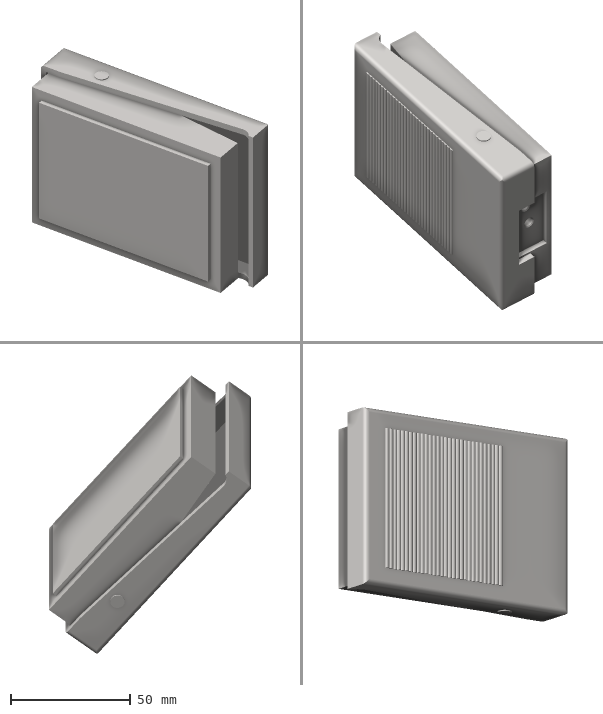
import cadquery as cq
import math


cover_length = 104.0
cover_height = 75.9
cover_depth = 17.1
cover_wall = 2.7
cover_fillet = 2.1

rim_flat_length = 9.7
relief_x = 97.2
relief_top_depth = 10.2
relief_radius = 10.0 / 2
hook_depth = 13.0

notch_depth = 9.0
notch_height = 31.1

rib_count = 30
grip_start_x = 33.9
grip_size = 59.9
rib_pitch = grip_size / rib_count
rib_radius = 2.4 / 2
rib_rise = 0.6

base_start_x = 3.0
base_length = 95.0
base_height = 68.5
base_front_depth = 28.4
base_left_back_depth = 3.2
base_right_back_depth = 15.4

plate_margin = 5.0
plate_thickness = 2.0

recess_top_depth = 11.0
recess_width = 14.8
recess_height = 29.7
recess_depth = 2.3
socket_diameter = 4.2
socket_mouth_diameter = 5.0
socket_depth = 6.0
socket_tip_angle = 118.0
socket_centers = [(-16.3, 9.6), (-18.3, -0.5)]

pin_diameter = 6.0
pin_length = 77.0
pin_x = 26.0
pin_y = -10.1


def corner_box(x_start, y_top, length, depth, height):
    """Block from x_start towards +X and from y_top towards -Y, centred on Z = 0."""
    return cq.Workplane("XY").box(length, depth, height, centered=(False, False, True)).translate(
        (x_start, y_top - depth, 0)
    )


def make_pin():
    """Straight pin along Z."""
    return cq.Workplane("XY").center(pin_x, pin_y).circle(pin_diameter / 2).extrude(pin_length / 2, both=True)


def make_cover_shell():
    """Rounded tray with a hooked rim, before the openings and the grip."""
    relief_y = -relief_top_depth - relief_radius
    drop_to_hook = math.asin((-hook_depth - relief_y) / relief_radius)
    hook_x = relief_x + relief_radius * math.cos(drop_to_hook)
    arc_middle = (drop_to_hook + math.pi / 2) / 2
    profile = (
        cq.Workplane("XY")
        .moveTo(0, 0)
        .lineTo(0, -cover_depth)
        .lineTo(rim_flat_length, -cover_depth)
        .lineTo(relief_x, -relief_top_depth)
        .threePointArc(
            (relief_x + relief_radius * math.cos(arc_middle), relief_y + relief_radius * math.sin(arc_middle)),
            (hook_x, -hook_depth),
        )
        .lineTo(cover_length, -hook_depth)
        .lineTo(cover_length, 0)
        .close()
    )
    sharp_shell = profile.extrude(cover_height / 2, both=True)
    shell = sharp_shell
    for rounded_edges in (">Y and |X", ">Y and |Z", "<X and |Y"):
        shell = shell.intersect(sharp_shell.edges(rounded_edges).fillet(cover_fillet))
    cavity = corner_box(
        cover_wall, -cover_wall, cover_length - 2 * cover_wall, cover_depth, cover_height - 2 * cover_wall
    )
    return shell.cut(cavity)


def make_grip():
    """Row of ribs with circular-arc crests that meet just above the cover's back face."""
    valley_rise = rib_rise - rib_radius + math.sqrt(rib_radius**2 - (rib_pitch / 2) ** 2)
    profile = cq.Workplane("XY").moveTo(grip_start_x, -cover_wall / 2).lineTo(grip_start_x, valley_rise)
    for index in range(rib_count):
        rib_x = grip_start_x + index * rib_pitch
        profile = profile.threePointArc((rib_x + rib_pitch / 2, rib_rise), (rib_x + rib_pitch, valley_rise))
    profile = profile.lineTo(grip_start_x + grip_size, -cover_wall / 2).close()
    return profile.extrude(grip_size / 2, both=True)


def make_cover(pin):
    """Cover with its grip, connector notch and pin holes."""
    notch = corner_box(0, -notch_depth, cover_wall, cover_depth - notch_depth, notch_height)
    return make_cover_shell().union(make_grip()).cut(notch).cut(pin)


def make_socket(y, z):
    """Cutter for a blind socket along +X with a chamfered mouth and a conical tip."""
    floor_x = base_start_x + recess_depth
    mouth_step = (socket_mouth_diameter - socket_diameter) / 2
    tip_length = socket_diameter / 2 / math.tan(math.radians(socket_tip_angle / 2))
    return (
        cq.Workplane("XY")
        .moveTo(floor_x, 0)
        .lineTo(floor_x, socket_mouth_diameter / 2)
        .lineTo(floor_x + mouth_step, socket_diameter / 2)
        .lineTo(floor_x + socket_depth, socket_diameter / 2)
        .lineTo(floor_x + socket_depth + tip_length, 0)
        .close()
        .revolve(360, (0, 0, 0), (1, 0, 0))
        .translate((0, y, z))
    )


def make_base(pin):
    """Base block with its front plate, connector recess, sockets and pin hole."""
    base_end_x = base_start_x + base_length
    block = (
        cq.Workplane("XY")
        .moveTo(base_start_x, -base_left_back_depth)
        .lineTo(base_start_x, -base_front_depth)
        .lineTo(base_end_x, -base_front_depth)
        .lineTo(base_end_x, -base_right_back_depth)
        .close()
        .extrude(base_height / 2, both=True)
    )
    plate = corner_box(
        base_start_x + plate_margin,
        -base_front_depth,
        base_length - 2 * plate_margin,
        plate_thickness,
        base_height - 2 * plate_margin,
    )
    recess = corner_box(base_start_x, -recess_top_depth, recess_depth, recess_width, recess_height)
    base = block.union(plate).cut(recess).cut(pin)
    for y, z in socket_centers:
        base = base.cut(make_socket(y, z))
    return base


pin = make_pin()
cover = make_cover(pin)
base = make_base(pin)

result = cq.Compound.makeCompound([cover.val(), base.val(), pin.val()])